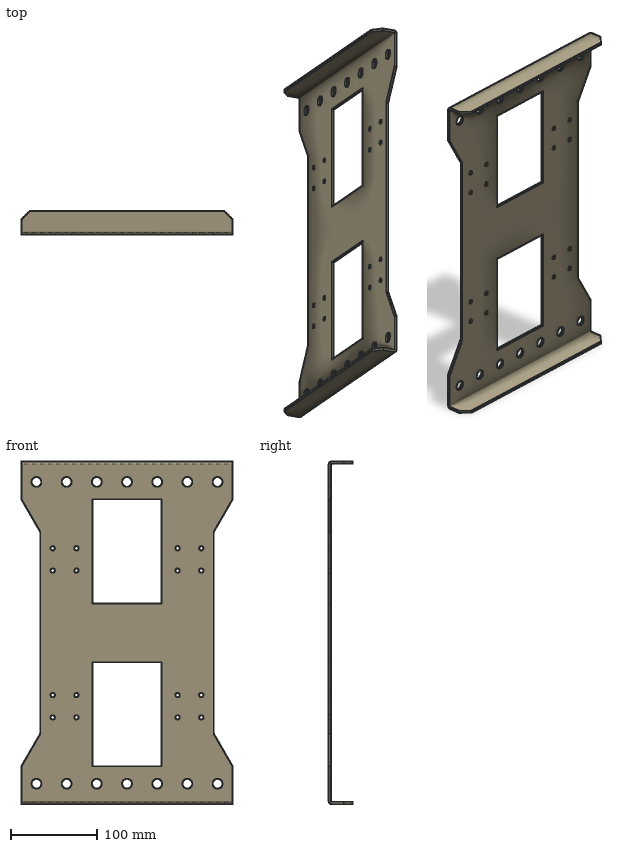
import cadquery as cq
import math

width = 245.0
depth = 28.0
height = 397.5
sheet_thickness = 3.0
bend_radius = 4.0
inner_bend_radius = bend_radius - sheet_thickness

waist_width = 201.0
shoulder_drop = 44.0
shoulder_angle = 60.0

flange_corner_cut = 10.0

window_width = 79.5
window_height = 120.5
window_drop = 44.0

row_hole_diameter = 11.0
row_hole_count = 7
row_hole_pitch = 35.0
row_hole_drop = 24.0

small_hole_diameter = 4.8
small_hole_spacing_x = 27.5
small_hole_spacing_z = 26.0
small_group_x = 72.5
small_group_z = 85.0

half_width = width / 2
half_height = height / 2


def folded_sheet():
    """Channel of constant thickness with rounded bends, extruded along X."""
    outer = cq.Workplane("XY").box(width, depth, height, centered=(True, False, True))
    outer = outer.edges("|X and <Y").fillet(bend_radius)
    cavity = (
        cq.Workplane("XY")
        .box(width, depth, height - 2 * sheet_thickness, centered=(True, False, True))
        .edges("|X and <Y")
        .fillet(inner_bend_radius)
        .translate((0, sheet_thickness, 0))
    )
    return outer.cut(cavity)


def web_holes(points, diameter):
    """Through-cutters for round holes at each (x, z) point of the web."""
    return cq.Workplane("XZ").pushPoints(points).circle(diameter / 2).extrude(-depth)


def waist_notches():
    """Trapezoidal cuts that narrow the web on both sides."""
    inset = (width - waist_width) / 2
    shoulder_outer_z = half_height - shoulder_drop
    shoulder_inner_z = shoulder_outer_z - inset * math.tan(math.radians(shoulder_angle))
    notch = (
        cq.Workplane("XZ")
        .moveTo(half_width, shoulder_outer_z)
        .lineTo(waist_width / 2, shoulder_inner_z)
        .lineTo(waist_width / 2, -shoulder_inner_z)
        .lineTo(half_width, -shoulder_outer_z)
        .close()
        .extrude(-depth)
    )
    return notch.union(notch.mirror("YZ"))


def windows():
    """Two rectangular openings, mirrored about mid-height."""
    window_z = half_height - window_drop - window_height / 2
    centers = [(0, window_z), (0, -window_z)]
    return (
        cq.Workplane("XZ")
        .pushPoints(centers)
        .rect(window_width, window_height)
        .extrude(-depth)
    )


def row_holes():
    """One row of mounting holes below the top bend and one above the bottom bend."""
    row_z = half_height - row_hole_drop
    first_x = -row_hole_pitch * (row_hole_count - 1) / 2
    points = [
        (first_x + i * row_hole_pitch, z)
        for i in range(row_hole_count)
        for z in (row_z, -row_z)
    ]
    return web_holes(points, row_hole_diameter)


def small_holes():
    """Four groups of four holes, one group on each side of each window."""
    points = [
        (side_x * small_group_x + dx * small_hole_spacing_x / 2,
         side_z * small_group_z + dz * small_hole_spacing_z / 2)
        for side_x in (-1, 1)
        for side_z in (-1, 1)
        for dx in (-1, 1)
        for dz in (-1, 1)
    ]
    return web_holes(points, small_hole_diameter)


sheet = folded_sheet().edges("|Z and >Y").chamfer(flange_corner_cut)

result = (
    sheet
    .cut(waist_notches())
    .cut(windows())
    .cut(row_holes())
    .cut(small_holes())
)